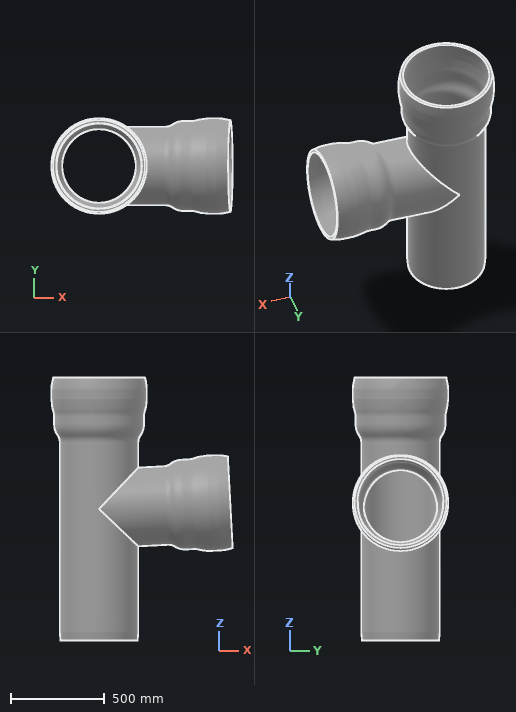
import cadquery as cq
import math

PIPE_DIAMETER = 420.0
NECK_DIAMETER = 480.0
BARREL_DIAMETER = 510.0
WALL = (PIPE_DIAMETER - 390.0) / 2

BARREL_FRONT = 65.0
BARREL_BACK = 115.0
BARREL_INFLECTION = 179.0
NECK_FRONT = 207.0
NECK_BACK = 249.0
NECK_INFLECTION = 308.0
SOCKET_BACK = 343.0

HEIGHT = 1400.0
JUNCTION_HEIGHT = 700.0
BRANCH_LENGTH = 700.0
BRANCH_TILT = 3.0

TAPER_CORNER = 46.0
TAPER_BLEND = 4.0
TAPER_DROP = 4.0


class Step:
    """Smooth step from a large to a smaller diameter: a convex arc, then a tangent concave arc."""

    def __init__(self, big_diameter, small_diameter, start, inflection, end):
        self.radius = big_diameter / 2
        self.end_radius = small_diameter / 2
        self.start, self.end = start, end
        drop = self.radius - self.end_radius
        self.angle = 2 * math.atan(drop / (end - start))
        self.convex = (inflection - start) / math.sin(self.angle)
        self.concave = (end - inflection) / math.sin(self.angle)

    def convex_point(self, angle, inset):
        """Point (radius, distance from rim) on the convex arc, set inward by inset."""
        arc = self.convex - inset
        center = self.radius - self.convex
        return center + arc * math.cos(angle), self.start + arc * math.sin(angle)

    def concave_point(self, angle, inset):
        """Point (radius, distance from rim) on the concave arc, set inward by inset."""
        arc = self.concave + inset
        center = self.end_radius + self.concave
        return center - arc * math.cos(angle), self.end - arc * math.sin(angle)


BARREL_STEP = Step(BARREL_DIAMETER, NECK_DIAMETER, BARREL_BACK, BARREL_INFLECTION, NECK_FRONT)
NECK_STEP = Step(NECK_DIAMETER, PIPE_DIAMETER, NECK_BACK, NECK_INFLECTION, SOCKET_BACK)


def add_step(profile, step, inset, place):
    """Line to the step, followed by its two arcs."""
    half = step.angle / 2
    return (
        profile.lineTo(*place(step.convex_point(0, inset)))
        .threePointArc(place(step.convex_point(half, inset)), place(step.convex_point(step.angle, inset)))
        .threePointArc(place(step.concave_point(half, inset)), place(step.concave_point(0, inset)))
    )


def socketed_solid(length, inset):
    """Solid of revolution along Z, from 0 to the socket rim at length, set inward by inset."""

    def place(point):
        radius, distance = point
        return radius, length - distance

    def mouth(distance):
        """Point on the arc that narrows the barrel towards the rim."""
        arc = BARREL_STEP.convex - inset
        run = BARREL_FRONT - distance
        center = BARREL_STEP.radius - BARREL_STEP.convex
        return place((center + math.sqrt(arc**2 - run**2), distance))

    profile = (
        cq.Workplane("XZ")
        .moveTo(0, length)
        .lineTo(*mouth(0))
        .threePointArc(mouth(BARREL_FRONT / 2), mouth(BARREL_FRONT))
    )
    profile = add_step(profile, BARREL_STEP, inset, place)
    profile = add_step(profile, NECK_STEP, inset, place)
    profile = profile.lineTo(PIPE_DIAMETER / 2 - inset, 0).lineTo(0, 0).close()
    return profile.revolve(360, (0, 0, 0), (0, 1, 0))


def socketed_tube(length):
    return socketed_solid(length, 0).cut(socketed_solid(length, WALL))


def spigot_taper():
    """Ring of material removed to taper the outside of the lower pipe end."""
    radius = PIPE_DIAMETER / 2
    blend_drop = TAPER_DROP * TAPER_BLEND / TAPER_CORNER
    clear_radius = radius + WALL
    return (
        cq.Workplane("XZ")
        .moveTo(radius - TAPER_DROP, 0)
        .lineTo(radius - blend_drop, TAPER_CORNER - TAPER_BLEND)
        .threePointArc(
            (radius - blend_drop / 4, TAPER_CORNER),
            (radius, TAPER_CORNER + TAPER_BLEND),
        )
        .lineTo(clear_radius, TAPER_CORNER + TAPER_BLEND)
        .lineTo(clear_radius, 0)
        .close()
        .revolve(360, (0, 0, 0), (0, 1, 0))
    )


def miter_wedge():
    """Wedge bounded by the two miter planes, which bisect the angles between the pipe axes."""
    reach = 2 * BRANCH_LENGTH
    upper = math.radians((90 + BRANCH_TILT) / 2)
    lower = math.radians((90 - BRANCH_TILT) / 2)
    return (
        cq.Workplane("XZ", origin=(0, 0, JUNCTION_HEIGHT))
        .polyline([
            (0, 0),
            (reach, -reach * math.tan(lower)),
            (reach, reach * math.tan(upper)),
        ])
        .close()
        .extrude(BARREL_DIAMETER, both=True)
    )


def make_main_pipe():
    return socketed_tube(HEIGHT).cut(spigot_taper()).cut(miter_wedge())


def make_branch():
    overrun = PIPE_DIAMETER
    tube = (
        socketed_tube(BRANCH_LENGTH + overrun)
        .translate((0, 0, -overrun))
        .rotate((0, 0, 0), (0, 1, 0), 90 - BRANCH_TILT)
        .translate((0, 0, JUNCTION_HEIGHT))
    )
    return tube.intersect(miter_wedge())


main_pipe = make_main_pipe()
branch = make_branch()
result = cq.Compound.makeCompound([main_pipe.solids().val(), branch.solids().val()])